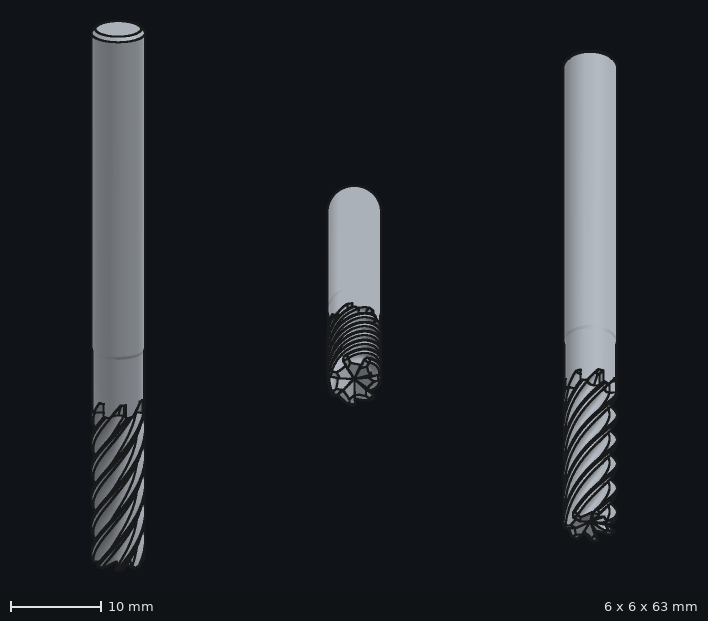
import cadquery as cq
import math

total_length = 63.0
tool_diameter = 6.0
neck_radius = 2.9
cutting_length = 18.0
neck_top = 25.3

end_chamfer_width = 0.45
end_chamfer_height = 0.5
shoulder_height = 0.4

flute_count = 7
helix_pitch = 23.05
neck_edge_angle = -107.0
core_radius = 1.8
core_angle = 17.0
rake_foot_radius = 2.15
rake_foot_angle = 1.5
land_angle = 5.0
heel_angle = 15.0
heel_radius = 2.8
runout_height = 1.5

corner_chamfer = 0.3
gash_width = 1.25
gash_depth = 0.75

tool_radius = tool_diameter / 2
tooth_pitch = 360 / flute_count
clear_radius = 1.5 * tool_radius


def polar(radius, angle):
    """Point at a radius and an angle in degrees from the X axis."""
    return (radius * math.cos(math.radians(angle)), radius * math.sin(math.radians(angle)))


def twist_over(height):
    """Helix rotation in degrees over an axial height."""
    return 360 * height / helix_pitch


end_edge_angle = neck_edge_angle - twist_over(cutting_length)


def revolved(profile):
    """Solid of revolution about Z from (radius, height) points."""
    points = [(-radius, height) for radius, height in profile]
    return cq.Workplane("YZ").polyline(points).close().revolve(360, (0, 0), (0, 1))


def fluted_bar():
    """Helical bar whose section is a ring of teeth, each with a land, a relief and a flute."""
    section = cq.Workplane("XY").moveTo(*polar(tool_radius, end_edge_angle))
    for index in range(flute_count):
        edge = end_edge_angle + index * tooth_pitch
        next_edge = edge + tooth_pitch
        section = (
            section.threePointArc(
                polar(tool_radius, edge + land_angle / 2), polar(tool_radius, edge + land_angle)
            )
            .lineTo(*polar(heel_radius, edge + heel_angle))
            .threePointArc(
                polar(core_radius, next_edge - core_angle),
                polar(rake_foot_radius, next_edge - rake_foot_angle),
            )
            .lineTo(*polar(tool_radius, next_edge))
        )
    return section.close().twistExtrude(cutting_length, twist_over(cutting_length))


def gash(edge):
    """Radial V notch across the end, with its upright wall in line with the cutting edge."""
    notch = cq.Workplane("XZ").polyline([(0, 0), (gash_width, 0), (0, gash_depth)]).close()
    return notch.extrude(-clear_radius).rotate((0, 0, 0), (0, 0, 1), edge - 90)


def cutting_head():
    head = fluted_bar()
    corner_ring = revolved(
        [
            (tool_radius - corner_chamfer, 0),
            (clear_radius, 0),
            (clear_radius, corner_chamfer + clear_radius - tool_radius),
        ]
    )
    head = head.cut(corner_ring)
    for index in range(flute_count):
        head = head.cut(gash(end_edge_angle + index * tooth_pitch))
    return head


def runout_outline(edge):
    """Flute section at the foot of the neck, open past the neck surface."""
    heel = edge - tooth_pitch + heel_angle
    return (
        cq.Workplane("XY", origin=(0, 0, cutting_length))
        .moveTo(*polar(clear_radius, edge))
        .lineTo(*polar(rake_foot_radius, edge - rake_foot_angle))
        .threePointArc(polar(core_radius, edge - core_angle), polar(heel_radius, heel))
        .lineTo(*polar(clear_radius, heel))
        .close()
    )


def runout(edge):
    """Flute end that narrows between an axial wall and the helical back of the flute."""
    straight = runout_outline(edge).extrude(runout_height)
    twisted = runout_outline(edge).twistExtrude(runout_height, twist_over(runout_height))
    return straight.intersect(twisted)


def shank():
    body = revolved(
        [
            (0, cutting_length),
            (neck_radius, cutting_length),
            (neck_radius, neck_top - shoulder_height),
            (tool_radius, neck_top),
            (tool_radius, total_length - end_chamfer_height),
            (tool_radius - end_chamfer_width, total_length),
            (0, total_length),
        ]
    )
    for index in range(flute_count):
        body = body.cut(runout(neck_edge_angle + index * tooth_pitch))
    return body


result = cq.Compound.makeCompound([cutting_head().val(), shank().val()])